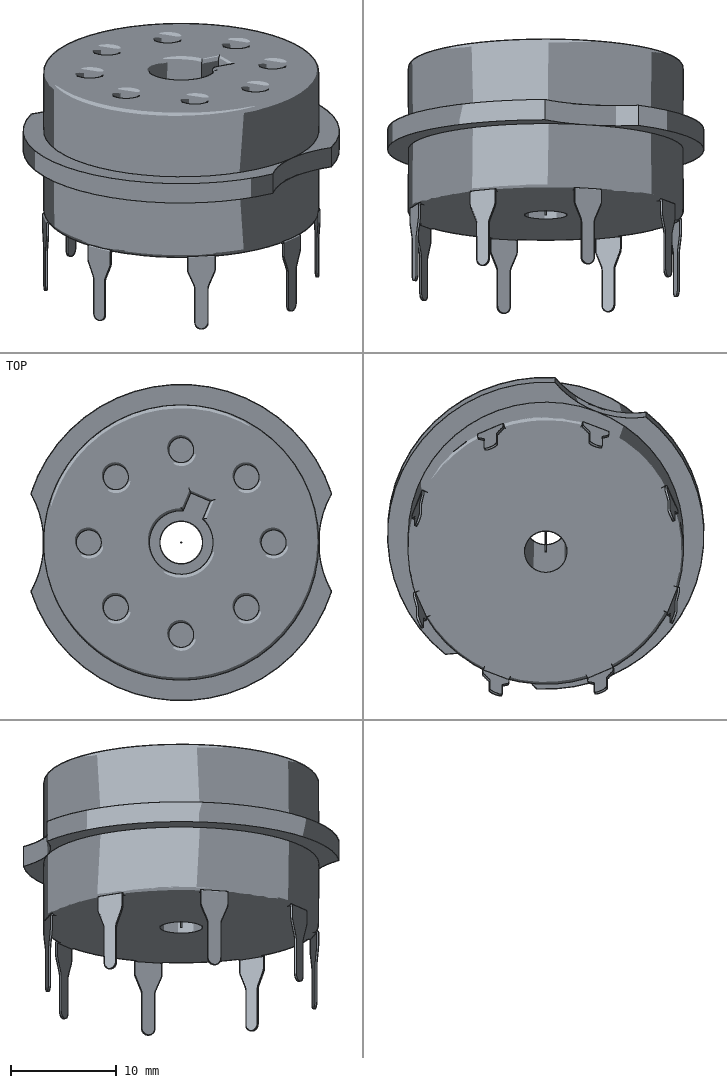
import cadquery as cq
import math


barrel_diameter = 26.0
barrel_height = 14.5
edge_radius = 0.42
flange_diameter = 29.9
flange_width = 28.43
flange_bottom = 6.28
flange_thickness = 1.95

bore_diameter = 6.0
bore_depth = 3.62
guide_hole_diameter = 4.0
keyway_width = 2.0
keyway_reach = 4.65
keyway_angle = 67.0

contact_count = 8
contact_step = 360.0 / contact_count
contact_circle_radius = 8.73
socket_diameter = 2.35
sheet_thickness = 0.2
socket_depth = barrel_height - sheet_thickness

terminal_outer_radius = 13.07
terminal_length = 7.1
shoulder_width = 2.63
shoulder_length = 1.3
taper_end = 2.9
tail_width = 1.25
shoulder_fillet = 1.0
bend_radius = 0.18

wire_diameter = 0.1
wire_length = barrel_height - bore_depth


def make_barrel():
    barrel = cq.Workplane("XY").circle(barrel_diameter / 2).extrude(barrel_height)
    return barrel.faces("<Z").edges().fillet(edge_radius)


def make_flange():
    """Disc with a concave scallop on the +X and -X sides, each touching the barrel."""
    barrel_radius = barrel_diameter / 2
    corner_x = flange_width / 2
    corner_y = math.sqrt((flange_diameter / 2) ** 2 - corner_x ** 2)
    return (
        cq.Workplane("XY")
        .workplane(offset=flange_bottom)
        .moveTo(corner_x, corner_y)
        .threePointArc((0, flange_diameter / 2), (-corner_x, corner_y))
        .threePointArc((-barrel_radius, 0), (-corner_x, -corner_y))
        .threePointArc((0, -flange_diameter / 2), (corner_x, -corner_y))
        .threePointArc((barrel_radius, 0), (corner_x, corner_y))
        .close()
        .extrude(flange_thickness)
    )


def make_keyed_bore():
    floor = cq.Workplane("XY").workplane(offset=barrel_height - bore_depth)
    bore = floor.circle(bore_diameter / 2).extrude(bore_depth)
    keyway = (
        floor.center(keyway_reach / 2, 0)
        .rect(keyway_reach, keyway_width)
        .extrude(bore_depth)
        .rotate((0, 0, 0), (0, 0, 1), keyway_angle)
    )
    return bore.union(keyway)


def make_guide_hole():
    return cq.Workplane("XY").circle(guide_hole_diameter / 2).extrude(barrel_height)


def make_sockets():
    return (
        cq.Workplane("XY")
        .workplane(offset=barrel_height - socket_depth)
        .polarArray(contact_circle_radius, 0, 360, contact_count)
        .circle(socket_diameter / 2)
        .extrude(socket_depth)
    )


def make_terminal():
    """Bent sheet terminal on the +X side: a tab flush with the underside and a tapered leg."""
    tab_length = terminal_outer_radius - contact_circle_radius
    tab = cq.Workplane("XY").box(tab_length, shoulder_width, sheet_thickness, centered=(False, True, False))
    tab = tab.translate((contact_circle_radius, 0, 0))

    half_shoulder = shoulder_width / 2
    half_tail = tail_width / 2
    tip_start = -terminal_length + half_tail
    leg = (
        cq.Workplane("YZ")
        .workplane(offset=terminal_outer_radius - sheet_thickness)
        .moveTo(-half_shoulder, sheet_thickness)
        .lineTo(-half_shoulder, -shoulder_length)
        .lineTo(-half_tail, -taper_end)
        .lineTo(-half_tail, tip_start)
        .threePointArc((0, -terminal_length), (half_tail, tip_start))
        .lineTo(half_tail, -taper_end)
        .lineTo(half_shoulder, -shoulder_length)
        .lineTo(half_shoulder, sheet_thickness)
        .close()
        .extrude(sheet_thickness)
    )
    taper_box = cq.selectors.BoxSelector(
        (0, -shoulder_width, -taper_end - half_tail),
        (flange_diameter, shoulder_width, -shoulder_length / 2),
    )
    leg = leg.edges("|X").edges(taper_box).fillet(shoulder_fillet)
    terminal = tab.union(leg).clean()
    return terminal.faces(">Z").edges(">X").fillet(bend_radius)


def make_housing():
    body = make_barrel().union(make_flange())
    body = body.cut(make_keyed_bore()).cut(make_sockets())
    body = body.faces(">Z").edges().fillet(edge_radius)
    body = body.cut(make_guide_hole())
    terminal = make_terminal()
    for index in range(contact_count):
        body = body.union(terminal.rotate((0, 0, 0), (0, 0, 1), index * contact_step))
    return body


def make_wire():
    return cq.Workplane("XY").circle(wire_diameter / 2).extrude(wire_length)


housing = make_housing()
wire = make_wire()
result = cq.Compound.makeCompound([housing.val(), wire.val()])